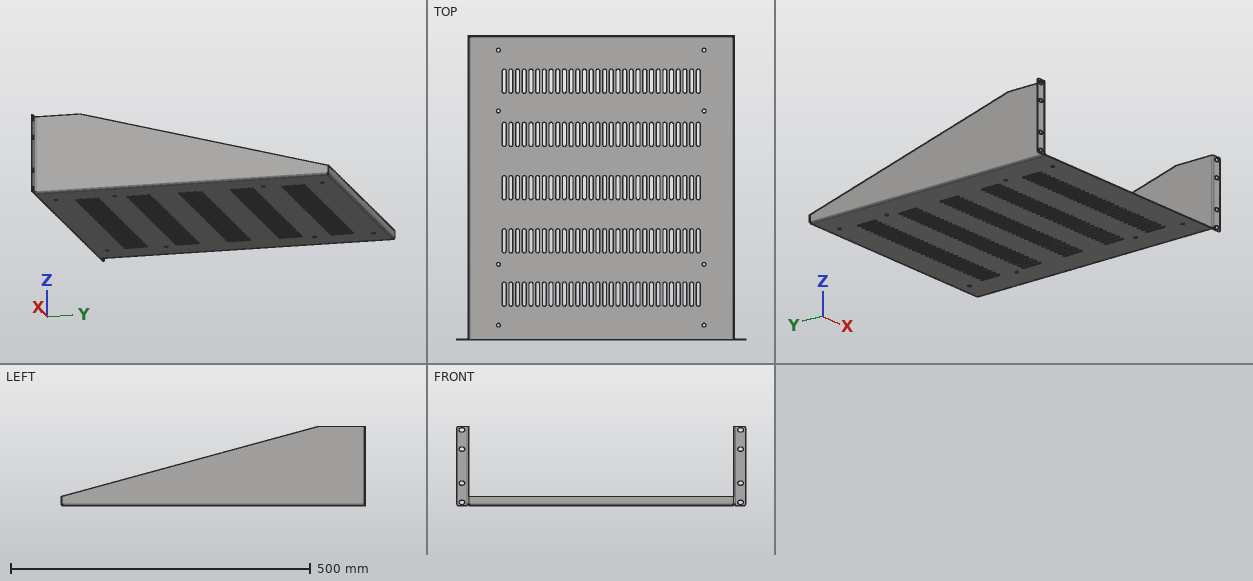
import cadquery as cq

flange_span = 482.5
depth = 508.0
height = 132.5

sheet = 1.5
bend_outer = 3.0
bend_inner = bend_outer - sheet
tray_width = 445.0
half_tray = tray_width / 2
rear_wall_height = 16.0
side_top_length = 79.0
front_y = -depth / 2
rear_y = depth / 2

flange_corner_radius = 3.0
flange_fold_x = half_tray - sheet + bend_outer
mount_hole_x = 232.5
mount_hole_length = 9.0
mount_hole_height = 6.5
mount_hole_offsets = (28.5, 60.5)

slot_rows = 5
slot_columns = 30
slot_row_pitch = 89.0
slot_column_pitch = 11.0
slot_length = 40.0
slot_width = 6.0

floor_hole_diameter = 6.0
floor_hole_x = 171.5
floor_hole_y = (128.0, 229.5)


def box(x_range, y_range, z_range):
    """Axis-aligned block given by its limits."""
    size = [limits[1] - limits[0] for limits in (x_range, y_range, z_range)]
    corner = (x_range[0], y_range[0], z_range[0])
    return cq.Workplane("XY").box(*size, centered=False).translate(corner)


def quarter_bend(plane, length):
    """Quarter tube of folded sheet around the plane origin, in the quadrant of +local X and -local Y."""
    return (
        cq.Workplane(plane)
        .moveTo(bend_inner, 0)
        .lineTo(bend_outer, 0)
        .radiusArc((0, -bend_outer), bend_outer)
        .lineTo(0, -bend_inner)
        .radiusArc((bend_inner, 0), -bend_inner)
        .close()
        .extrude(length)
    )


def make_floor():
    edge_x = half_tray - bend_outer
    return box((-edge_x, edge_x), (front_y, rear_y - bend_outer), (0, sheet))


def make_rear_wall():
    """Upturned strip between the side walls, folded up from the floor."""
    edge_x = half_tray - bend_outer
    inner_x = half_tray - sheet
    wall = box((-inner_x, inner_x), (rear_y - sheet, rear_y), (bend_outer, rear_wall_height))
    bend_plane = cq.Plane(
        origin=(-edge_x, rear_y - bend_outer, bend_outer), xDir=(0, 1, 0), normal=(1, 0, 0)
    )
    return wall.union(quarter_bend(bend_plane, 2 * edge_x))


def make_side_wall():
    """Right-hand side wall with a sloping top, and the bend that joins it to the floor."""
    wall_front = front_y + bend_outer
    wall = (
        cq.Workplane("YZ", origin=(half_tray - sheet, 0, 0))
        .moveTo(wall_front, bend_outer)
        .lineTo(rear_y, bend_outer)
        .lineTo(rear_y, rear_wall_height)
        .lineTo(front_y + side_top_length, height)
        .lineTo(wall_front, height)
        .close()
        .extrude(sheet)
    )
    bend_plane = cq.Plane(
        origin=(half_tray - bend_outer, rear_y - bend_outer, bend_outer), xDir=(1, 0, 0), normal=(0, -1, 0)
    )
    return wall.union(quarter_bend(bend_plane, depth - bend_outer))


def make_flange():
    """Right-hand mounting flange, folded outward from the front of the side wall."""
    flange = box((flange_fold_x, flange_span / 2), (front_y, front_y + sheet), (0, height))
    flange = flange.edges("|Y and >X").fillet(flange_corner_radius)
    hole_points = [
        (mount_hole_x, height / 2 + side * offset) for offset in mount_hole_offsets for side in (-1, 1)
    ]
    holes = (
        cq.Workplane("XZ", origin=(0, front_y + sheet, 0))
        .pushPoints(hole_points)
        .slot2D(mount_hole_length, mount_hole_height)
        .extrude(sheet)
    )
    bend_plane = cq.Plane(
        origin=(flange_fold_x, front_y + bend_outer, bend_outer), xDir=(0, -1, 0), normal=(0, 0, 1)
    )
    bend = quarter_bend(bend_plane, height - bend_outer)
    return flange.cut(holes).union(bend)


def make_ventilation_slots():
    return (
        cq.Workplane("XY")
        .rarray(slot_column_pitch, slot_row_pitch, slot_columns, slot_rows)
        .slot2D(slot_length, slot_width, 90)
        .extrude(sheet)
    )


def make_floor_holes():
    hole_points = [
        (x_side * floor_hole_x, y_side * y) for y in floor_hole_y for x_side in (-1, 1) for y_side in (-1, 1)
    ]
    return cq.Workplane("XY").pushPoints(hole_points).circle(floor_hole_diameter / 2).extrude(sheet)


floor = make_floor().cut(make_ventilation_slots()).cut(make_floor_holes())
right_side = make_side_wall().union(make_flange())
left_side = right_side.mirror("YZ")
result = floor.union(make_rear_wall()).union(right_side).union(left_side)